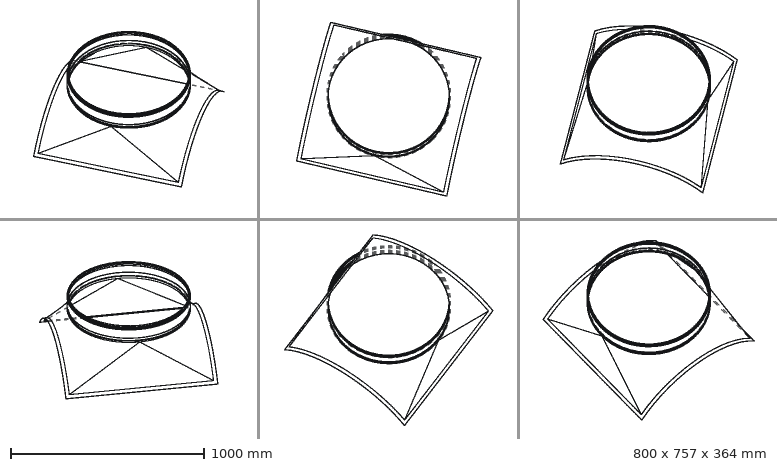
import cadquery as cq
import math


sheet = 0.5
length_x = 800.0
width_y = 757.0
overall_height = 364.0
duct_radius = 500.0
flange_width = 20.0

spigot_radius = 629.0 / 2
rib_radius = 640.0 / 2

hem_depth = 7.0
recess_bottom_depth = 25.0
recess_taper_depth = 31.0
bead_depth = 70.0
joint_depth = 89.0
neck_depth = 101.0

bead_half_width = 6.0

recess_radius = 625.0 / 2
seal_waist_radius = 626.0 / 2
seal_foot_radius = 628.0 / 2
seal_shoulder_radius = 632.0 / 2
shoulder_bottom_depth = 10.0
tip_top_depth = 14.0
tip_bottom_depth = 16.0

half_x = length_x / 2
half_y = width_y / 2
flange_radius = duct_radius + sheet
bottom_z = math.sqrt(duct_radius**2 - half_y**2)
top_z = bottom_z + overall_height
neck_z = top_z - neck_depth
joint_z = top_z - joint_depth
bead_z = top_z - bead_depth
hem_bottom_z = top_z - hem_depth

opening_half_x = half_x - flange_width
opening_angle = math.asin(half_y / flange_radius) - flange_width / flange_radius
opening_half_y = flange_radius * math.sin(opening_angle)


def revolve(profile):
    """Turn a closed (radius, height) profile around the branch axis."""
    return profile.close().revolve(360, (0, 0, 0), (0, 1, 0))


def ring(inner_radius, outer_radius, low_z, high_z):
    """Plain ring around the branch axis."""
    return (
        cq.Workplane("XY")
        .workplane(offset=low_z)
        .circle(outer_radius)
        .circle(inner_radius)
        .extrude(high_z - low_z)
    )


def flange_plate():
    """Rectangular sheet bent around the main duct, without its opening."""
    bent_sheet = (
        cq.Workplane("YZ")
        .circle(flange_radius)
        .circle(duct_radius)
        .extrude(half_x, both=True)
    )
    blank = cq.Workplane("XY").box(length_x, width_y, flange_radius, centered=(True, True, False))
    return bent_sheet.intersect(blank)


def transition_form(inset):
    """Solid form from the opening on the duct to the round neck, drawn in by the inset."""
    radius = spigot_radius - inset
    corner_x = opening_half_x - inset
    corner_y = opening_half_y - inset
    corner_z = math.sqrt(duct_radius**2 - corner_y**2)
    diagonal = radius * math.sqrt(0.5)
    arc_mid_angle = math.asin(corner_y / duct_radius) / 2
    arc_mid_y = duct_radius * math.sin(arc_mid_angle)
    arc_mid_z = duct_radius * math.cos(arc_mid_angle)

    neck_arcs = []
    faces = []
    for side_x in (-1, 1):
        for side_y in (-1, 1):
            neck_arc = cq.Edge.makeThreePointArc(
                cq.Vector(side_x * radius, 0, neck_z),
                cq.Vector(side_x * diagonal, side_y * diagonal, neck_z),
                cq.Vector(0, side_y * radius, neck_z),
            )
            saddle_arc = cq.Edge.makeThreePointArc(
                cq.Vector(side_x * corner_x, 0, duct_radius),
                cq.Vector(side_x * corner_x, side_y * arc_mid_y, arc_mid_z),
                cq.Vector(side_x * corner_x, side_y * corner_y, corner_z),
            )
            neck_arcs.append(neck_arc)
            faces.append(cq.Face.makeRuledSurface(neck_arc, saddle_arc))

    for side_y in (-1, 1):
        apex = cq.Vector(0, side_y * radius, neck_z)
        left = cq.Vector(-corner_x, side_y * corner_y, corner_z)
        right = cq.Vector(corner_x, side_y * corner_y, corner_z)
        faces.append(cq.Face.makeFromWires(cq.Wire.makePolygon([apex, left, right], close=True)))

    front_left, back_left, front_right, back_right = neck_arcs
    neck_circle = cq.Wire.assembleEdges([front_left, back_left, back_right, front_right])
    faces.append(cq.Face.makeFromWires(neck_circle))
    left_arc, right_arc = [
        cq.Edge.makeThreePointArc(
            cq.Vector(x, -corner_y, corner_z),
            cq.Vector(x, 0, duct_radius),
            cq.Vector(x, corner_y, corner_z),
        )
        for x in (-corner_x, corner_x)
    ]
    faces.append(cq.Face.makeRuledSurface(left_arc, right_arc))
    return cq.Workplane(cq.Solid.makeSolid(cq.Shell.makeShell(faces)))


def make_saddle():
    neck = ring(spigot_radius - sheet, spigot_radius, neck_z, joint_z)
    neck_lip = ring(spigot_radius - sheet, rib_radius, joint_z - sheet, joint_z)
    body = flange_plate().union(transition_form(0)).cut(transition_form(sheet))
    return body.union(neck).union(neck_lip)


def collar_form(inset):
    """Solid form bounded by the collar wall, drawn in by the inset."""
    wall = spigot_radius - inset
    recess = recess_radius - inset

    bead_height = rib_radius - spigot_radius
    arc_radius = (bead_half_width**2 + bead_height**2) / (4 * bead_height)
    round_radius = arc_radius - inset
    hollow_radius = arc_radius + inset
    side_angle = math.asin(bead_half_width / (2 * arc_radius))
    round_center = rib_radius - arc_radius
    hollow_center = spigot_radius + arc_radius

    hollow_mid_radius = hollow_center - hollow_radius * math.cos(side_angle / 2)
    hollow_mid_height = bead_half_width - hollow_radius * math.sin(side_angle / 2)
    turn_radius = round_center + round_radius * math.cos(side_angle)
    turn_height = round_radius * math.sin(side_angle)

    return revolve(
        cq.Workplane("XZ")
        .moveTo(0, joint_z)
        .lineTo(wall, joint_z)
        .lineTo(wall, bead_z - bead_half_width)
        .threePointArc((hollow_mid_radius, bead_z - hollow_mid_height), (turn_radius, bead_z - turn_height))
        .threePointArc((round_center + round_radius, bead_z), (turn_radius, bead_z + turn_height))
        .threePointArc((hollow_mid_radius, bead_z + hollow_mid_height), (wall, bead_z + bead_half_width))
        .lineTo(wall, top_z - recess_taper_depth)
        .lineTo(recess, top_z - recess_bottom_depth)
        .lineTo(recess, top_z)
        .lineTo(0, top_z)
    )


def hem_outline(inset):
    """Open outline of the hem, drawn in by the inset: a quarter round, then a straight leg."""
    round_radius = spigot_radius - recess_radius - inset
    round_center_z = top_z - inset - round_radius
    diagonal = round_radius * math.sqrt(0.5)
    return (
        cq.Workplane("XZ")
        .moveTo(recess_radius, top_z - inset)
        .threePointArc(
            (recess_radius + diagonal, round_center_z + diagonal),
            (recess_radius + round_radius, round_center_z),
        )
        .lineTo(recess_radius + round_radius, hem_bottom_z)
    )


def hem_form(inset):
    """Ring filling the hem from the recess wall outward, drawn in by the inset."""
    return revolve(hem_outline(inset).lineTo(recess_radius, hem_bottom_z))


def make_collar():
    wall = collar_form(0).cut(collar_form(sheet))
    joint_lip = ring(spigot_radius - sheet, rib_radius, joint_z, joint_z + sheet)
    hem = hem_form(0).cut(hem_form(sheet))
    return wall.union(joint_lip).union(hem)


def make_seal():
    return revolve(
        hem_outline(sheet)
        .lineTo(seal_shoulder_radius, hem_bottom_z)
        .lineTo(seal_shoulder_radius, top_z - shoulder_bottom_depth)
        .lineTo(rib_radius, top_z - tip_top_depth)
        .lineTo(rib_radius, top_z - tip_bottom_depth)
        .lineTo(seal_waist_radius, top_z - tip_bottom_depth)
        .lineTo(seal_foot_radius, top_z - recess_bottom_depth)
        .lineTo(recess_radius, top_z - recess_bottom_depth)
    )


saddle = make_saddle()
collar = make_collar()
seal = make_seal()

result = cq.Compound.makeCompound([saddle.solids().val(), collar.solids().val(), seal.solids().val()])